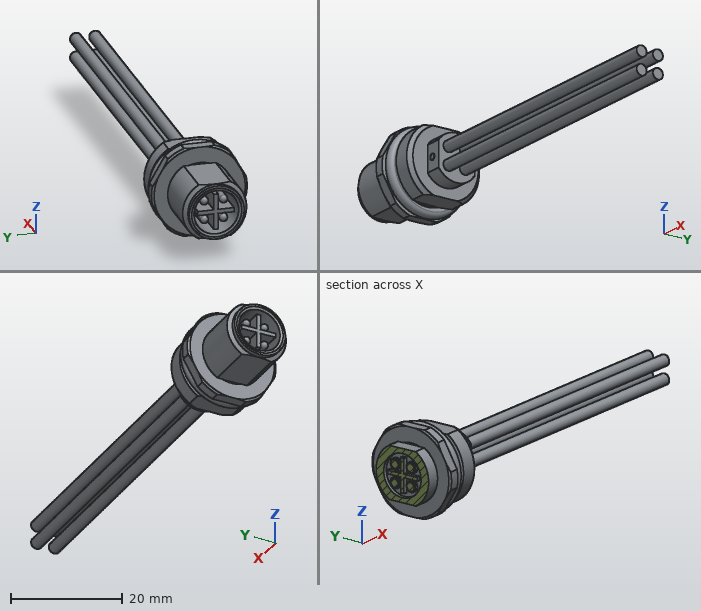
import cadquery as cq
import math


full_turn = 360

tip_end = 0.9
flange_front = 10.85
flange_thickness = 2.1
flange_back = flange_front + flange_thickness
nut_front = 15.2
nut_back = 20.0
sleeve_back = 23.45
wire_end = 83.6

barrel_diameter = 12.0
tip_diameter = 10.3
barrel_across_flats = 10.4
barrel_chamfer_length = 0.45

flange_diameter = 17.96
flange_across_flats = 17.0
flange_sides = 6
flange_chamfer_length = 0.25
flange_chamfer_angle = 30
flange_recess_diameter = 11.0
flange_recess_depth = 0.1
barrel_back = flange_front + flange_recess_depth

oring_outer_diameter = 17.4
oring_section = 2.1
oring_center = 13.95
neck_diameter = 13.3

nut_diameter = 16.0
nut_across_flats = 13.4
nut_front_chamfer_length = 0.75
nut_back_chamfer = 0.8

sleeve_diameter = 9.55
sleeve_across_flats = 7.9
mark_diameter = 1.25
mark_depth = 0.1
mark_position = 21.4

socket_diameter = 8.35
socket_depth = 9.0
socket_mouth_diameter = 9.4
socket_mouth_depth = 0.2

contact_spacing = 3.6
contact_diameter = 1.5
contact_front = 1.15
contact_collars = [(2.17, 0.5), (1.8, 1.0)]
cross_span = 6.8
cross_thickness = 0.8
cross_front = 0.5
wire_diameter = 2.23


def cylinder(diameter, start, end):
    """Cylinder on the X axis between two axial positions."""
    return cq.Workplane("YZ").workplane(offset=start).circle(diameter / 2).extrude(end - start)


def revolve_profile(points):
    """Solid of revolution about X from (axial position, radius) points."""
    return cq.Workplane("XY").polyline(points).close().revolve(full_turn, (0, 0, 0), (1, 0, 0))


def slab(start, end, width_y, height_z):
    """Block centred on the X axis between two axial positions."""
    block = cq.Workplane("YZ").workplane(offset=start)
    return block.rect(width_y, height_z).extrude(end - start)


def at_contacts(start):
    """Workplane carrying the four contact positions."""
    plane = cq.Workplane("YZ").workplane(offset=start)
    return plane.rect(contact_spacing, contact_spacing, forConstruction=True).vertices()


def make_barrel():
    """Stepped, chamfered barrel with flats on top and bottom."""
    tip_radius = tip_diameter / 2
    radius = barrel_diameter / 2
    chamfer_end = tip_end + barrel_chamfer_length
    barrel = revolve_profile([
        (0, 0),
        (0, tip_radius),
        (tip_end, tip_radius),
        (chamfer_end, radius),
        (barrel_back, radius),
        (barrel_back, 0),
    ])
    return barrel.intersect(slab(0, barrel_back, barrel_diameter, barrel_across_flats))


def make_flange():
    """Hexagon with turned-down corners and a shallow recess around the barrel."""
    radius = flange_diameter / 2
    face_radius = radius - flange_chamfer_length / math.tan(math.radians(flange_chamfer_angle))
    disc = revolve_profile([
        (flange_front, 0),
        (flange_front, face_radius),
        (flange_front + flange_chamfer_length, radius),
        (flange_back, radius),
        (flange_back, 0),
    ])
    corner_diameter = flange_across_flats / math.cos(math.pi / flange_sides)
    hexagon = cq.Workplane("YZ").workplane(offset=flange_front)
    hexagon = hexagon.polygon(flange_sides, corner_diameter).extrude(flange_thickness)
    recess = cylinder(flange_recess_diameter, flange_front, barrel_back)
    return disc.intersect(hexagon).cut(recess)


def make_oring():
    """Torus seated against the back of the flange."""
    ring_radius = (oring_outer_diameter - oring_section) / 2
    section = cq.Workplane("XY").center(oring_center, ring_radius).circle(oring_section / 2)
    return section.revolve(full_turn, (0, -ring_radius, 0), (1, -ring_radius, 0))


def make_nut():
    """Round nut, chamfered at both ends, with flats on top and bottom."""
    radius = nut_diameter / 2
    nut = revolve_profile([
        (nut_front, 0),
        (nut_front, neck_diameter / 2),
        (nut_front + nut_front_chamfer_length, radius),
        (nut_back - nut_back_chamfer, radius),
        (nut_back, radius - nut_back_chamfer),
        (nut_back, 0),
    ])
    return nut.intersect(slab(nut_front, nut_back, nut_diameter, nut_across_flats))


def make_sleeve():
    """Sleeve with flats on both sides and a round position mark on the -Y flat."""
    sleeve = cylinder(sleeve_diameter, nut_back, sleeve_back)
    sleeve = sleeve.intersect(slab(nut_back, sleeve_back, sleeve_across_flats, sleeve_diameter))
    mark = cq.Workplane("XZ", origin=(mark_position, -sleeve_across_flats / 2, 0))
    return sleeve.cut(mark.circle(mark_diameter / 2).extrude(-mark_depth))


def make_socket():
    """Bore with a steep lead-in, to be cut from the mating face."""
    mouth_radius = socket_mouth_diameter / 2
    bore_radius = socket_diameter / 2
    return revolve_profile([
        (0, 0),
        (0, mouth_radius),
        (socket_mouth_depth, bore_radius),
        (socket_depth, bore_radius),
        (socket_depth, 0),
    ])


def make_contacts():
    """Four round-nosed pins, each standing on a stepped collar."""
    tip_center = contact_front + contact_diameter / 2
    contacts = at_contacts(tip_center).circle(contact_diameter / 2).extrude(socket_depth - tip_center)
    contacts = contacts.union(at_contacts(tip_center).sphere(contact_diameter / 2, direct=(0, 1, 0)))
    for diameter, height in contact_collars:
        collars = at_contacts(socket_depth - height).circle(diameter / 2).extrude(height)
        contacts = contacts.union(collars)
    return contacts


def make_cross():
    """Shield cross that separates the four contacts."""
    upright = slab(cross_front, socket_depth, cross_thickness, cross_span)
    crossbar = slab(cross_front, socket_depth, cross_span, cross_thickness)
    return upright.union(crossbar)


def make_wires():
    """One wire behind each contact."""
    return at_contacts(sleeve_back).circle(wire_diameter / 2).extrude(wire_end - sleeve_back)


neck = cylinder(neck_diameter, flange_back, nut_front)

result = make_barrel().union(make_flange()).union(neck).union(make_oring()).union(make_nut())
result = result.union(make_sleeve()).cut(make_socket())
result = result.union(make_contacts()).union(make_cross()).union(make_wires())